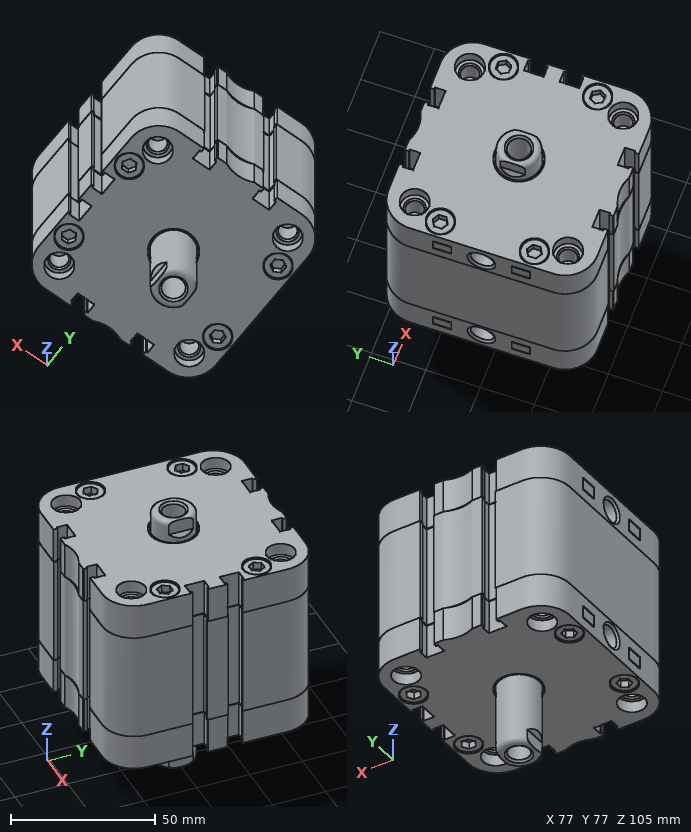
import cadquery as cq
import math

SIDE = 77.0
CORNER_RADIUS = 12.0
CAP_THICKNESS = 13.6
BARREL_LENGTH = 41.7
TOTAL_LENGTH = 105.0
ROD_TOP_PROJECTION = 8.0

HALF_SIDE = SIDE / 2
BARREL_TOP = BARREL_LENGTH / 2
CAP_TOP = BARREL_TOP + CAP_THICKNESS
ROD_TOP = CAP_TOP + ROD_TOP_PROJECTION
ROD_BOTTOM = ROD_TOP - TOTAL_LENGTH

CLEARANCE = 0.3
LIP_OVERHANG = 0.7
BARREL_MOUTH = 5.5
FRONT_MOUTH_START = 10.1
FRONT_SLOT_DEPTH = 5.1
FRONT_LIP = 1.6
SIDE_MOUTH_END = 9.5
SIDE_SLOT_DEPTH = 4.8
SIDE_LIP = 0.9
LIP_CHAMFER = 0.3
EDGE_REACH = 0.05

RECESS_HALF_WIDTH = 6.0
BARREL_RECESS_DEPTH = 1.0
RECESS_EDGE_RADIUS = 1.8

MOUNT_HOLE_OFFSET = 28.2
MOUNT_COUNTERBORE = 10.5
MOUNT_COUNTERBORE_DEPTH = 4.6
MOUNT_HOLE = 6.6
MOUNT_HOLE_CHAMFER = 0.6
SCREW_X = 32.3
SCREW_Y = 17.3
SCREW_RECESS = 10.3
SCREW_HEAD = 9.8
SCREW_GROOVE_DEPTH = 0.6
SCREW_HEAD_SINK = 0.3
HEX_ACROSS_FLATS = 4.8
HEX_DEPTH = 3.2
PORT_FROM_END = 7.5
PORT_HOLE = 8.6
PORT_MOUTH = 10.3
PORT_DEPTH = 10.5
LABEL_WIDTH = 6.7
LABEL_HEIGHT = 4.8
LABEL_OFFSET = 14.5
LABEL_DEPTH = 0.2
GUIDE_BORE = 16.6
GUIDE_MOUTH = 17.7
GUIDE_MOUTH_DEPTH = 0.3
GUIDE_CHAMFER = 0.1

ROD_DIAMETER = 16.0
ROD_END_RADIUS = 1.8
ROD_FLAT_WIDTH = 13.0
ROD_FLAT_LENGTH = 5.2
ROD_THREAD_HOLE = 8.4
ROD_THREAD_MOUTH = 10.0
ROD_THREAD_DEPTH = 20.0
DRILL_POINT_ANGLE = 118.0


def slot(height, mouth_start, mouth_end, lip, depth):
    """Cutter for a slot that widens under two lips, open at y = 0 and running towards -y."""
    cavity_start = mouth_start - LIP_OVERHANG
    cavity_end = mouth_end + LIP_OVERHANG
    outline = [
        (mouth_start, 0),
        (mouth_start, -lip),
        (cavity_start, -lip),
        (cavity_start, -depth),
        (cavity_end, -depth),
        (cavity_end, -lip),
        (mouth_end, -lip),
        (mouth_end, 0),
    ]
    return cq.Workplane("XY").polyline(outline).close().extrude(height)


def on_face(cutter, turn):
    """Move a cutter from the XZ plane to the housing face reached by turning +Y about Z."""
    return cutter.translate((0, HALF_SIDE, 0)).rotate((0, 0, 0), (0, 0, 1), turn)


def profile_block(height, growth):
    """Slotted, rounded square prism standing on Z = 0; growth enlarges slots and recesses."""
    block = cq.Workplane("XY").rect(SIDE, SIDE).extrude(height).edges("|Z").fillet(CORNER_RADIUS)

    front_mouth_end = FRONT_MOUTH_START + BARREL_MOUTH + growth
    front_slot = slot(height, FRONT_MOUTH_START, front_mouth_end, FRONT_LIP, FRONT_SLOT_DEPTH + growth)
    side_mouth_start = SIDE_MOUTH_END - BARREL_MOUTH - growth
    side_slot = slot(height, side_mouth_start, SIDE_MOUTH_END, SIDE_LIP, SIDE_SLOT_DEPTH + growth)
    recess = (
        cq.Workplane("XY")
        .moveTo(-RECESS_HALF_WIDTH, 0)
        .threePointArc((0, -BARREL_RECESS_DEPTH - growth), (RECESS_HALF_WIDTH, 0))
        .close()
        .extrude(height)
    )
    for turn in (0, 180):
        for cutter in (front_slot, front_slot.mirror("YZ"), recess):
            block = block.cut(on_face(cutter, turn))
    for cutter in (side_slot, side_slot.mirror("YZ")):
        block = block.cut(on_face(cutter, -90))
    return block


def face_edge_selectors(x_distance):
    """One selector for each vertical edge of the -Y and +Y faces at this distance from X = 0."""
    selectors = []
    for x in (-x_distance, x_distance):
        for y in (-HALF_SIDE, HALF_SIDE):
            lower = (x - EDGE_REACH, y - EDGE_REACH, -SIDE)
            upper = (x + EDGE_REACH, y + EDGE_REACH, SIDE)
            selectors.append(cq.selectors.BoxSelector(lower, upper))
    return selectors


def cylinder(top, diameter, depth):
    """Cylinder on the Z axis, running down from the given height."""
    return cq.Workplane("XY", origin=(0, 0, top)).circle(diameter / 2).extrude(-depth)


def turned_cutter(half_section):
    """Solid of revolution about the Z axis from (radius, height) points."""
    return cq.Workplane("XZ").polyline(half_section).close().revolve(360, (0, 0, 0), (0, 1, 0))


def make_barrel():
    """Middle profile, bored to the rod diameter and centred on Z = 0."""
    barrel = profile_block(BARREL_LENGTH, 0)
    for recess_edge in face_edge_selectors(RECESS_HALF_WIDTH):
        barrel = barrel.edges("|Z").edges(recess_edge).fillet(RECESS_EDGE_RADIUS)
    barrel = barrel.cut(cylinder(BARREL_LENGTH, ROD_DIAMETER, BARREL_LENGTH))
    return barrel.translate((0, 0, -BARREL_TOP))


def guide_hole():
    """Stepped hole through the cap around the rod, with a small chamfer at its mouth."""
    bore_radius = GUIDE_BORE / 2
    mouth_radius = GUIDE_MOUTH / 2
    mouth_floor = CAP_THICKNESS - GUIDE_MOUTH_DEPTH
    return turned_cutter([
        (0, 0),
        (bore_radius, 0),
        (bore_radius, mouth_floor),
        (mouth_radius, mouth_floor),
        (mouth_radius, CAP_THICKNESS - GUIDE_CHAMFER),
        (mouth_radius + GUIDE_CHAMFER, CAP_THICKNESS),
        (0, CAP_THICKNESS),
    ])


def mount_hole():
    """Through hole with a chamfered edge below a counterbore."""
    hole_radius = MOUNT_HOLE / 2
    floor = CAP_THICKNESS - MOUNT_COUNTERBORE_DEPTH
    return turned_cutter([
        (0, 0),
        (hole_radius, 0),
        (hole_radius, floor - MOUNT_HOLE_CHAMFER),
        (hole_radius + MOUNT_HOLE_CHAMFER, floor),
        (MOUNT_COUNTERBORE / 2, floor),
        (MOUNT_COUNTERBORE / 2, CAP_THICKNESS),
        (0, CAP_THICKNESS),
    ])


def screw_head():
    """Ring groove around a slightly sunk head with a hexagon socket."""
    recess = cylinder(CAP_THICKNESS, SCREW_RECESS, SCREW_GROOVE_DEPTH)
    head = cylinder(CAP_THICKNESS - SCREW_HEAD_SINK, SCREW_HEAD, SCREW_GROOVE_DEPTH)
    across_corners = HEX_ACROSS_FLATS / math.cos(math.pi / 6)
    socket = (
        cq.Workplane("XY", origin=(0, 0, CAP_THICKNESS))
        .polygon(6, across_corners)
        .extrude(-HEX_DEPTH)
    )
    return recess.cut(head).union(socket)


def port():
    """Threaded port with a conical mouth, running down from Z = 0."""
    mouth_chamfer = (PORT_MOUTH - PORT_HOLE) / 2
    return turned_cutter([
        (0, 0),
        (PORT_MOUTH / 2, 0),
        (PORT_HOLE / 2, -mouth_chamfer),
        (PORT_HOLE / 2, -PORT_DEPTH),
        (0, -PORT_DEPTH),
    ])


def make_cap():
    """Upper end cap in place above the barrel; its screw heads are part of it."""
    cap = profile_block(CAP_THICKNESS, CLEARANCE)
    for lip_edge in face_edge_selectors(FRONT_MOUTH_START):
        cap = cap.edges("|Z").edges(lip_edge).chamfer(LIP_CHAMFER)
    cap = cap.cut(guide_hole())

    for side_x, socket_turn in ((-1, 90), (1, 0)):
        head = screw_head().rotate((0, 0, 0), (0, 0, 1), socket_turn)
        for side_y in (-1, 1):
            cap = cap.cut(mount_hole().translate((side_x * MOUNT_HOLE_OFFSET, side_y * MOUNT_HOLE_OFFSET, 0)))
            cap = cap.cut(head.translate((side_x * SCREW_X, side_y * SCREW_Y, 0)))

    sideways_port = port().rotate((0, 0, 0), (0, 1, 0), -90)
    cap = cap.cut(sideways_port.translate((-HALF_SIDE, 0, CAP_THICKNESS - PORT_FROM_END)))
    label = cq.Workplane("XY").box(2 * LABEL_DEPTH, LABEL_WIDTH, LABEL_HEIGHT)
    for side_y in (-1, 1):
        cap = cap.cut(label.translate((-HALF_SIDE, side_y * LABEL_OFFSET, CAP_THICKNESS / 2)))
    return cap.translate((0, 0, BARREL_TOP))


def rod_end_cutter():
    """Material removed from one rod end, with the end face at Z = 0 and the rod below it."""
    flat = ROD_FLAT_WIDTH / 2
    outside = ROD_DIAMETER
    flats = cq.Workplane("XZ").polyline([
        (flat, 0),
        (flat, -ROD_FLAT_LENGTH),
        (outside, -ROD_FLAT_LENGTH - (outside - flat)),
        (outside, 0),
    ]).close().extrude(ROD_DIAMETER, both=True)

    mouth_chamfer = (ROD_THREAD_MOUTH - ROD_THREAD_HOLE) / 2
    point = ROD_THREAD_HOLE / 2 / math.tan(math.radians(DRILL_POINT_ANGLE / 2))
    hole = turned_cutter([
        (0, 0),
        (ROD_THREAD_MOUTH / 2, 0),
        (ROD_THREAD_HOLE / 2, -mouth_chamfer),
        (ROD_THREAD_HOLE / 2, -ROD_THREAD_DEPTH),
        (0, -ROD_THREAD_DEPTH - point),
    ])
    return flats.union(flats.mirror("YZ")).union(hole)


def make_rod():
    """Through rod whose two ends are alike."""
    rod = cylinder(ROD_TOP, ROD_DIAMETER, TOTAL_LENGTH)
    rod = rod.faces("<Z or >Z").edges().fillet(ROD_END_RADIUS)
    end = rod_end_cutter()
    rod = rod.cut(end.translate((0, 0, ROD_TOP)))
    return rod.cut(end.mirror("XY").translate((0, 0, ROD_BOTTOM)))


barrel = make_barrel()
top_cap = make_cap()
bottom_cap = top_cap.rotate((0, 0, 0), (1, 0, 0), 180)
rod = make_rod()

result = cq.Compound.makeCompound([barrel.val(), top_cap.val(), bottom_cap.val(), rod.val()])